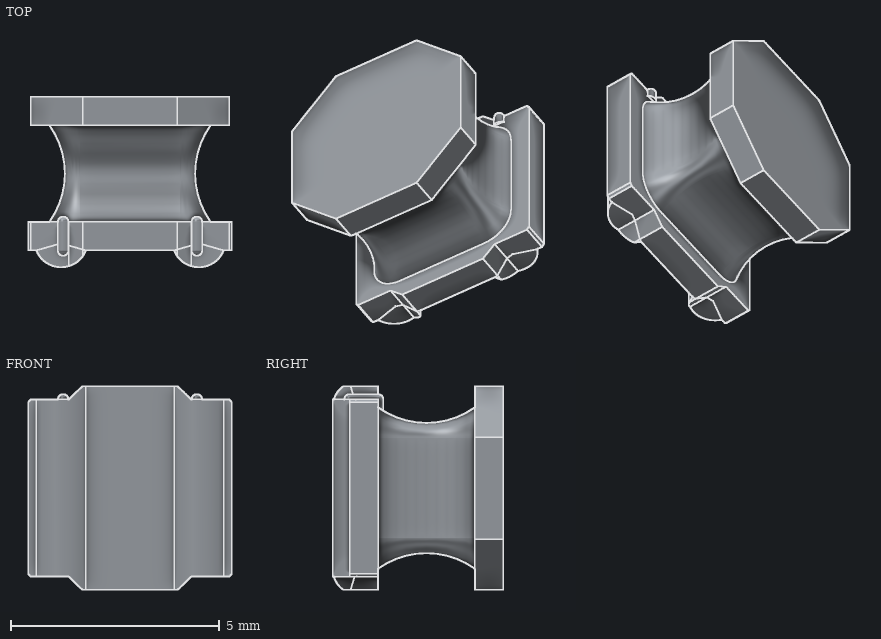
import cadquery as cq

FLANGE_THICKNESS = 0.685
NECK_LENGTH = 2.325
HEIGHT = 4.9
TOP_FLAT = 2.285
NECK_END = NECK_LENGTH / 2
FRONT_FACE = -NECK_END - FLANGE_THICKNESS

REAR_WIDTH = 4.78
REAR_SIDE_FLAT = 2.45

FRONT_WIDTH = 4.9
SHOULDER_HEIGHT = 4.265
RAISED_BASE_WIDTH = 2.95
CORNER_CHAMFER_X = 0.06
CORNER_CHAMFER_Z = 0.075

WAIST_WIDTH = 3.135
NECK_END_WIDTH = 3.88
NECK_FLAT = 2.4

TERMINAL_X = 1.655
TERMINAL_WIDTH = 1.195
TERMINAL_PROTRUSION = 0.405
GROOVE_DEPTH = 0.17

WIRE_X = 1.605
WIRE_RADIUS = 0.125


def extrude_outline(points, y_front, length):
    """Extrude a closed XZ outline from y_front toward +Y."""
    return cq.Workplane("XZ", origin=(0, y_front, 0)).polyline(points).close().extrude(-length)


def mirrored_outline(quarter):
    """Complete a closed outline from its +X, +Z quarter."""
    right = [(x, -z) for x, z in reversed(quarter)] + quarter
    return right + [(-x, z) for x, z in reversed(quarter)] + [(-x, -z) for x, z in quarter]


REAR_OUTLINE = mirrored_outline([
    (REAR_WIDTH / 2, REAR_SIDE_FLAT / 2),
    (TOP_FLAT / 2, HEIGHT / 2),
])
FRONT_OUTLINE = mirrored_outline([
    (FRONT_WIDTH / 2, SHOULDER_HEIGHT / 2 - CORNER_CHAMFER_Z),
    (FRONT_WIDTH / 2 - CORNER_CHAMFER_X, SHOULDER_HEIGHT / 2),
    (RAISED_BASE_WIDTH / 2, SHOULDER_HEIGHT / 2),
    (TOP_FLAT / 2, HEIGHT / 2),
])


def waisted_profile(plane, waist_half, end_half):
    """Symmetric profile about Y with concave circular sides."""
    return (
        cq.Workplane(plane)
        .moveTo(-end_half, -NECK_END)
        .lineTo(end_half, -NECK_END)
        .threePointArc((waist_half, 0), (end_half, NECK_END))
        .lineTo(-end_half, NECK_END)
        .threePointArc((-waist_half, 0), (-end_half, -NECK_END))
        .close()
    )


def make_neck():
    waist_half = WAIST_WIDTH / 2
    end_half = NECK_END_WIDTH / 2
    flat_half = NECK_FLAT / 2
    side_walls = waisted_profile("XY", waist_half, end_half).extrude(flat_half, both=True)
    top_walls = side_walls.rotate((0, 0, 0), (0, 1, 0), 90)
    corner = (
        cq.Workplane("XY")
        .moveTo(0, -NECK_END)
        .lineTo(end_half - flat_half, -NECK_END)
        .threePointArc((waist_half - flat_half, 0), (end_half - flat_half, NECK_END))
        .lineTo(0, NECK_END)
        .close()
        .revolve(360, (0, 0), (0, 1))
    )
    neck = side_walls.union(top_walls)
    for x in (-flat_half, flat_half):
        for z in (-flat_half, flat_half):
            neck = neck.union(corner.translate((x, 0, z)))
    return neck


def make_wire(x):
    """Rod across the shoulder with spherical ends and a leg down to the neck's top level."""
    z = SHOULDER_HEIGHT / 2
    wire = cq.Workplane("XZ", origin=(x, FRONT_FACE, z)).circle(WIRE_RADIUS).extrude(-FLANGE_THICKNESS)
    for y in (FRONT_FACE, -NECK_END):
        wire = wire.union(cq.Workplane("XY", origin=(x, y, z)).sphere(WIRE_RADIUS))
    leg = cq.Workplane("XY", origin=(x, -NECK_END, 0)).circle(WIRE_RADIUS).extrude(z)
    below_neck_top = (
        waisted_profile("XY", WAIST_WIDTH / 2, NECK_END_WIDTH / 2)
        .extrude(FRONT_WIDTH / 2, both=True)
        .rotate((0, 0, 0), (0, 1, 0), 90)
    )
    below_neck_end = cq.Workplane("XY").box(FRONT_WIDTH, HEIGHT, NECK_END_WIDTH).translate(
        (0, -NECK_END - HEIGHT / 2, 0)
    )
    return wire.union(leg.cut(below_neck_top).cut(below_neck_end))


def make_terminal_bar(x):
    """Terminal trimmed to the front flange outline, before its wire groove is cut."""
    bar = (
        cq.Workplane("XY", origin=(x, FRONT_FACE, -HEIGHT / 2))
        .moveTo(-TERMINAL_WIDTH / 2, 0)
        .threePointArc((0, -TERMINAL_PROTRUSION), (TERMINAL_WIDTH / 2, 0))
        .lineTo(0, GROOVE_DEPTH)
        .close()
        .extrude(HEIGHT)
    )
    trim_depth = TERMINAL_PROTRUSION + FLANGE_THICKNESS
    return bar.intersect(extrude_outline(FRONT_OUTLINE, FRONT_FACE - TERMINAL_PROTRUSION, trim_depth))


rear_flange = extrude_outline(REAR_OUTLINE, NECK_END, FLANGE_THICKNESS)
neck = make_neck()
front_flange = extrude_outline(FRONT_OUTLINE, FRONT_FACE, FLANGE_THICKNESS)

terminals = []
wires = []
for side in (-1, 1):
    wire = make_wire(side * WIRE_X)
    terminal_bar = make_terminal_bar(side * TERMINAL_X)
    front_flange = front_flange.cut(terminal_bar).cut(wire)
    terminals.append(terminal_bar.cut(wire).val())
    wires.append(wire.val())

result = cq.Compound.makeCompound([
    rear_flange.val(),
    neck.val(),
    front_flange.val(),
    *terminals,
    *wires,
])